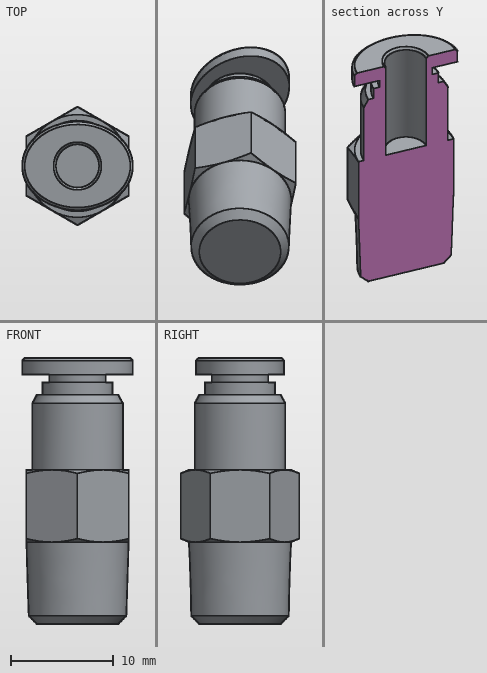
import cadquery as cq
import math

total_height = 25.9
thread_length = 7.98
hex_height = 7.02
collar_base = 22.33
neck_base = 23.52
head_base = 24.27
hex_top = thread_length + hex_height

tip_chamfer = 0.8
thread_end_radius = 4.77
taper_per_side = 1 / 32
thread_root_radius = thread_end_radius + (thread_length - tip_chamfer) * taper_per_side

hex_across_flats = 10.0
hex_flat_radius = hex_across_flats / 2
hex_corner_radius = hex_flat_radius / math.cos(math.pi / 6)
corner_chamfer_height = 0.34

body_radius = 4.43
body_chamfer_width = 0.47
body_chamfer_height = 0.85
collar_radius = 3.42
neck_radius = 2.77

head_length_x = 10.8
head_width_y = 8.6
head_chamfer = 0.25

bore_radius = 2.1
bore_chamfer = 0.23
bore_floor = hex_top


def revolved(profile):
    """Solid of revolution about Z from (radius, height) points."""
    return cq.Workplane("XZ").polyline(profile).close().revolve(360, (0, 0), (0, 1))


def turned_body():
    """Thread, round body, collar and neck as one stepped solid."""
    return revolved([
        (0, 0),
        (thread_end_radius - tip_chamfer, 0),
        (thread_end_radius, tip_chamfer),
        (thread_root_radius, thread_length),
        (body_radius, thread_length),
        (body_radius, collar_base - body_chamfer_height),
        (body_radius - body_chamfer_width, collar_base),
        (collar_radius, collar_base),
        (collar_radius, neck_base),
        (neck_radius, neck_base),
        (neck_radius, head_base),
        (0, head_base),
    ])


def hexagon():
    """Hexagonal wrench section with its corners turned down at both ends."""
    prism = (
        cq.Workplane("XY")
        .workplane(offset=thread_length)
        .polygon(6, 2 * hex_corner_radius)
        .extrude(hex_height)
        .rotate((0, 0, 0), (0, 0, 1), 30)
    )
    turned_envelope = revolved([
        (0, thread_length),
        (hex_flat_radius, thread_length),
        (hex_corner_radius, thread_length + corner_chamfer_height),
        (hex_corner_radius, hex_top - corner_chamfer_height),
        (hex_flat_radius, hex_top),
        (0, hex_top),
    ])
    return prism.intersect(turned_envelope)


def release_button():
    """Oval head with a chamfered top rim."""
    return (
        cq.Workplane("XY")
        .workplane(offset=head_base)
        .ellipse(head_length_x / 2, head_width_y / 2)
        .extrude(total_height - head_base)
        .faces(">Z")
        .edges()
        .chamfer(head_chamfer)
    )


def tube_socket():
    """Blind bore with a chamfered mouth, to be cut away."""
    return revolved([
        (0, bore_floor),
        (bore_radius, bore_floor),
        (bore_radius, total_height - bore_chamfer),
        (bore_radius + bore_chamfer, total_height),
        (0, total_height),
    ])


result = turned_body().union(hexagon()).union(release_button()).cut(tube_socket())